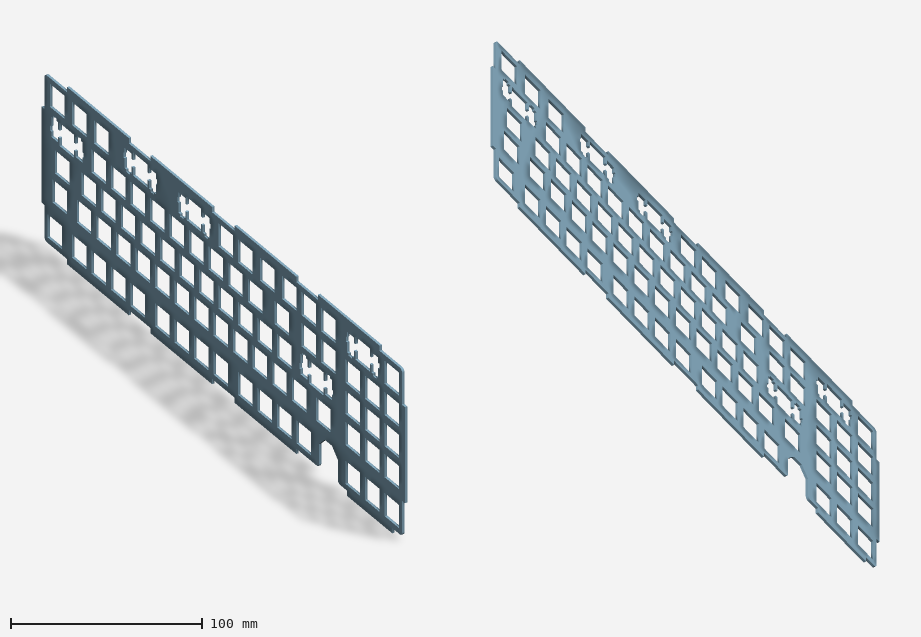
import cadquery as cq


length = 354.0
height = 108.3
thickness = 1.5

side_tab_depth = 3.0
side_tab_height = 58.8
edge_tab_depth = 3.2
edge_tab_width = 60.0
inner_tab_centre = 41.0
outer_tab_centre = 122.0
short_tab_centre = 142.5
short_tab_width = 44.0
corner_radius = 2.0

body_length = length - 2 * side_tab_depth
body_height = height - 2 * edge_tab_depth

key_columns_span = 17.25
key_rows_span = 4.25
grid_length = 328.5
key_pitch = grid_length / key_columns_span
key_web = 5.0
switch_hole = key_pitch - key_web

slot_inner = 8.5
slot_outer = 15.2
slot_top = 5.5
slot_bottom = -6.7
foot_width = 3.5
foot_bottom = -8.0
nub_depth = 1.0
nub_top = 2.5
nub_bottom = -0.7
channel_height = 4.5

notch_column = 14
notch_width = 18.5
notch_top = -31.0
notch_chamfer = 5.5

right_block = [15.25, 16.25, key_columns_span]
SWITCH_ROWS = [
    (0, [0.125, 1.25, 2.375, 8.75, 9.75, 10.875, 12, 13, 14, key_columns_span]),
    (1, [2.25 + i for i in range(9)] + [11.625, 13, 14] + right_block),
    (2, [0.375] + [1.75 + i for i in range(11)] + right_block),
    (3, [0.25] + [1.5 + i for i in range(12)] + [13.75] + right_block),
    (
        key_rows_span,
        [0]
        + [1.25 + i for i in range(4)]
        + [5.5 + i for i in range(4)]
        + [9.75 + i for i in range(4)]
        + right_block,
    ),
]

STABILIZED_KEYS = [
    (0, 4.375, 1),
    (0, 7.125, 1),
    (0, 15.75, 1),
    (1, 0.625, -1),
    (2, 13.375, -1),
]


def key_x(column):
    return (column - key_columns_span / 2) * key_pitch


def key_z(row):
    return (key_rows_span / 2 - row) * key_pitch


def block(x_min, x_max, z_min, z_max):
    """Box through the full plate thickness, given by its sides in X and Z."""
    size_x = x_max - x_min
    size_z = z_max - z_min
    return cq.Workplane("XY").box(size_x, thickness, size_z).translate(
        ((x_min + x_max) / 2, 0, (z_min + z_max) / 2)
    )


def notch():
    """Bottom notch with a chamfered top."""
    x = key_x(notch_column)
    tool = block(x - notch_width / 2, x + notch_width / 2, -height / 2, notch_top)
    return tool.edges("|Y and >Z").chamfer(notch_chamfer)


def edge_tab(centre, width, side):
    """Tab on the top (side = 1) or bottom (side = -1) edge, sunk into the body by its own depth."""
    z_centre = side * body_height / 2
    x_min = centre - width / 2
    return block(x_min, x_min + width, z_centre - edge_tab_depth, z_centre + edge_tab_depth)


def outline():
    """Plate without any key holes."""
    plate = block(-body_length / 2, body_length / 2, -body_height / 2, body_height / 2)
    plate = plate.cut(notch())
    plate = plate.edges("|Y").edges("<Z or >Z").fillet(corner_radius)
    plate = plate.union(block(-length / 2, length / 2, -side_tab_height / 2, side_tab_height / 2))
    for centre in (-outer_tab_centre, -inner_tab_centre, inner_tab_centre, outer_tab_centre):
        plate = plate.union(edge_tab(centre, edge_tab_width, 1))
    for centre in (-outer_tab_centre, -inner_tab_centre, inner_tab_centre):
        plate = plate.union(edge_tab(centre, edge_tab_width, -1))
    return plate.union(edge_tab(short_tab_centre, short_tab_width, -1))


def switch_holes():
    """Square holes for all single switches."""
    centres = [(key_x(column), key_z(row)) for row, columns in SWITCH_ROWS for column in columns]
    return (
        cq.Workplane("XZ")
        .pushPoints(centres)
        .rect(switch_hole, switch_hole)
        .extrude(thickness / 2, both=True)
    )


def stabilizer_cutout():
    """Switch hole joined by a channel to a footed slot on either side, centred on the origin."""
    half_hole = switch_hole / 2
    slot_centre = (slot_inner + slot_outer) / 2
    slot = block(slot_inner, slot_outer, slot_bottom, slot_top)
    foot = block(slot_centre - foot_width / 2, slot_centre + foot_width / 2, foot_bottom, 0)
    nub = block(slot_centre, slot_outer + nub_depth, nub_bottom, nub_top)
    side = slot.union(foot).union(nub)
    hole = block(-half_hole, half_hole, -half_hole, half_hole)
    channel = block(-slot_centre, slot_centre, -channel_height / 2, channel_height / 2)
    return hole.union(channel).union(side).union(side.mirror("YZ"))


result = outline().cut(switch_holes())
for row, column, direction in STABILIZED_KEYS:
    cutout = stabilizer_cutout()
    if direction < 0:
        cutout = cutout.mirror("XY")
    result = result.cut(cutout.translate((key_x(column), 0, key_z(row))))